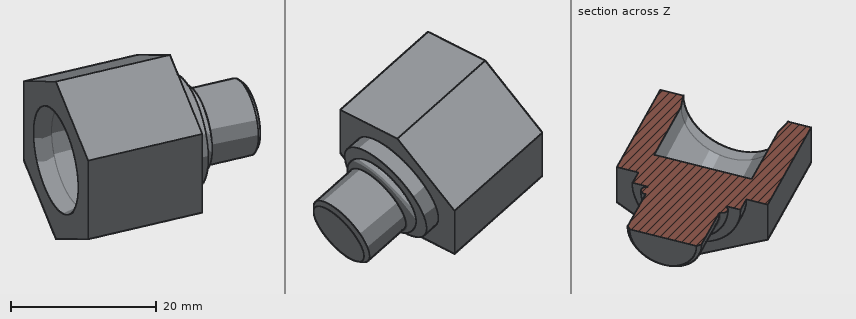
import cadquery as cq
import math

total_length = 28.57
across_flats = 22.23
hex_length = 17.15
collar_diameter = 15.95
collar_length = 2.29
spigot_diameter = 10.9
spigot_chamfer = 0.55
ring_diameter = 12.75
ring_width = 1.55
bore_diameter = 14.28
bore_depth = 12.85
mouth_diameter = 15.37
mouth_depth = 2.43

across_corners = across_flats / math.cos(math.radians(30))
front_y = -total_length / 2
collar_y = front_y + hex_length
spigot_y = collar_y + collar_length
spigot_length = total_length - hex_length - collar_length


def plane_at(y):
    """Plane across the axis, with its normal along +Y and local Y along Z."""
    return cq.Workplane(cq.Plane(origin=(0, y, 0), xDir=(-1, 0, 0), normal=(0, 1, 0)))


def cylinder(y, diameter, length):
    return plane_at(y).circle(diameter / 2).extrude(length)


def hex_body():
    """Hexagonal prism with two corners on the Z axis."""
    return plane_at(front_y).transformed(rotate=(0, 0, 90)).polygon(6, across_corners).extrude(hex_length)


def spigot():
    return cylinder(spigot_y, spigot_diameter, spigot_length).faces(">Y").chamfer(spigot_chamfer)


def sealing_ring():
    """Ring with a half-round outer edge, seated against the collar."""
    round_radius = ring_width / 2
    outer_radius = ring_diameter / 2
    shoulder_radius = outer_radius - round_radius
    ring_end_y = spigot_y + ring_width
    profile = (
        cq.Workplane("XY")
        .moveTo(0, spigot_y)
        .lineTo(shoulder_radius, spigot_y)
        .threePointArc((outer_radius, spigot_y + round_radius), (shoulder_radius, ring_end_y))
        .lineTo(0, ring_end_y)
        .close()
    )
    return profile.revolve(360, (0, 0, 0), (0, 1, 0))


def bore():
    """Blind hole with a conical lead-in at its mouth."""
    mouth_radius = mouth_diameter / 2
    bore_radius = bore_diameter / 2
    bore_end_y = front_y + bore_depth
    profile = cq.Workplane("XY").polyline([
        (0, front_y),
        (mouth_radius, front_y),
        (bore_radius, front_y + mouth_depth),
        (bore_radius, bore_end_y),
        (0, bore_end_y),
    ]).close()
    return profile.revolve(360, (0, 0, 0), (0, 1, 0))


collar = cylinder(collar_y, collar_diameter, collar_length)
result = hex_body().union(collar).union(spigot()).union(sealing_ring()).cut(bore())